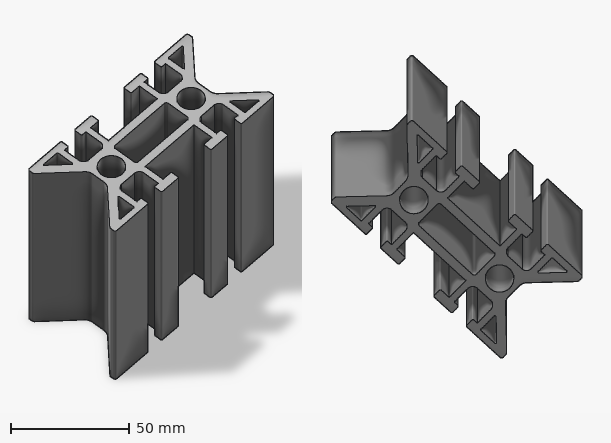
import cadquery as cq
import math

module = 50.0
length = 100.0
half_width = module / 2
half_depth = module
bore_y = module / 2

slot_opening = 8.2
slot_width = 13.4
slot_floor_x = 9.6
lip_thickness = 4.3
web = 3.0
slot_corner_radius = 2.8
edge_radius = 0.6
tip_outer_radius = 1.0
tip_inner_radius = 1.5

recess_opening = 20.2
recess_floor_x = 10.5

notch_mouth_half_width = 21.9
notch_floor_offset = 8.3
notch_floor_radius = 4.5

bore_diameter = 12.0
cavity_width = 13.2
cavity_length = 33.2
cavity_corner_radius = 1.2
hollow_corner_radius = 0.4
diagonal_wall = 4.2

lip_inner_x = half_width - lip_thickness
recess_width = 2 * (bore_y - slot_width / 2 - web)
notch_floor_y = bore_y + notch_floor_offset
notch_depth = half_depth - notch_floor_y
notch_floor_half_width = notch_mouth_half_width - notch_depth


def prism(points):
    return cq.Workplane("XY").polyline(points).close().extrude(length)


def block(x_min, x_max, y_center, width):
    """Full-length block from x_min to x_max, centred on y_center."""
    return (
        cq.Workplane("XY")
        .center((x_min + x_max) / 2, y_center)
        .rect(x_max - x_min, width)
        .extrude(length)
    )


def both_sides(solid):
    return solid.union(solid.mirror("YZ"))


def both_ends(solid):
    return solid.union(solid.mirror("XZ"))


def outer_body():
    body = cq.Workplane("XY").rect(2 * half_width, 2 * half_depth).extrude(length)
    return body.edges("|Z").fillet(tip_outer_radius)


def end_notch():
    """45-degree V notch with a flat floor and rounded floor corners."""
    notch = prism([
        (-notch_floor_half_width, notch_floor_y),
        (notch_floor_half_width, notch_floor_y),
        (notch_mouth_half_width, half_depth),
        (-notch_mouth_half_width, half_depth),
    ])
    return notch.faces("<Y").edges("|Z").fillet(notch_floor_radius)


def side_slot():
    """T-slot centred on the bore of its module."""
    pocket = block(slot_floor_x, lip_inner_x, bore_y, slot_width)
    pocket = pocket.faces("<X").edges("|Z").fillet(slot_corner_radius)
    return pocket.union(block(slot_floor_x, half_width, bore_y, slot_opening))


def side_recess():
    pocket = block(recess_floor_x, lip_inner_x, 0, recess_width)
    return pocket.union(block(recess_floor_x, half_width, 0, recess_opening))


def corner_hollow():
    """Triangular hollow between the side wall, the slot web and the notch."""
    wall_x = half_width - web
    web_y = bore_y + slot_width / 2 + web
    slant_offset = half_depth - notch_mouth_half_width - diagonal_wall * math.sqrt(2)
    hollow = prism([
        (wall_x, web_y),
        (wall_x, wall_x + slant_offset),
        (web_y - slant_offset, web_y),
    ])
    return hollow.edges("|Z").fillet(hollow_corner_radius)


def bore():
    return cq.Workplane("XY").center(0, bore_y).circle(bore_diameter / 2).extrude(length)


def center_cavity():
    cavity = cq.Workplane("XY").rect(cavity_width, cavity_length).extrude(length)
    return cavity.edges("|Z").fillet(cavity_corner_radius)


def round_edges(body, x, y, radius):
    """Round the full-length edge at (x, y) and its three mirror images."""
    for sign_x in (-1, 1):
        for sign_y in (-1, 1):
            point = (sign_x * x, sign_y * y, length / 2)
            nearest = cq.selectors.NearestToPointSelector(point)
            body = body.edges("|Z").edges(nearest).fillet(radius)
    return body


def round_lips(body):
    """Round the outer and inner lip edges at the slot and recess openings."""
    slot_edges = [bore_y - slot_opening / 2, bore_y + slot_opening / 2]
    for y in slot_edges + [recess_opening / 2]:
        for x in (half_width, lip_inner_x):
            body = round_edges(body, x, y, edge_radius)
    return body


result = outer_body()
result = result.cut(both_ends(end_notch()))
result = result.cut(both_sides(both_ends(side_slot())))
result = result.cut(both_sides(side_recess()))
result = result.cut(both_sides(both_ends(corner_hollow())))
result = result.cut(both_ends(bore()))
result = result.cut(center_cavity())
result = round_lips(result)
result = round_edges(result, notch_mouth_half_width, half_depth, tip_inner_radius)